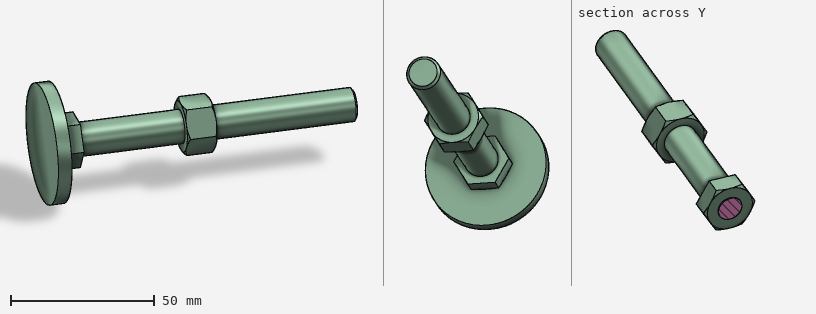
import cadquery as cq
import math

TOTAL_LENGTH = 112.5

FOOT_DIAMETER = 43.0
FOOT_THICKNESS = 5.0

NECK_DIAMETER = 9.0
NECK_LENGTH = 0.6

STUD_DIAMETER = 12.0
TIP_CHAMFER_LENGTH = 0.8
TIP_CHAMFER_DEPTH = 1.0

HEAD_FLATS = 17.0
HEAD_HEIGHT = 7.0
HEAD_START = FOOT_THICKNESS + NECK_LENGTH
HEAD_END = HEAD_START + HEAD_HEIGHT

NUT_FLATS = 18.0
NUT_HEIGHT = 10.8
NUT_START = 50.0

HEX_CHAMFER_ANGLE = 30.0


def cylinder(diameter, start, length):
    """Round bar along +Y beginning at Y = start."""
    plane = cq.Workplane("XZ", origin=(0, start, 0))
    return plane.circle(diameter / 2).extrude(-length)


def hexagon(flats, start, height, chamfer_far_end):
    """Hexagonal bar with flats facing +Z and -Z, and conically chamfered corners.

    The near end is always chamfered, the far end only on request.
    """
    corner_diameter = flats / math.cos(math.radians(30))
    plane = cq.Workplane("XZ", origin=(0, start, 0))
    prism = plane.polygon(6, corner_diameter).extrude(-height)

    flat_radius = flats / 2
    corner_radius = corner_diameter / 2
    drop = (corner_radius - flat_radius) * math.tan(math.radians(HEX_CHAMFER_ANGLE))
    end = start + height
    envelope = cq.Workplane("XY").moveTo(0, start).lineTo(flat_radius, start)
    envelope = envelope.lineTo(corner_radius, start + drop)
    if chamfer_far_end:
        envelope = envelope.lineTo(corner_radius, end - drop).lineTo(flat_radius, end)
    else:
        envelope = envelope.lineTo(corner_radius, end)
    envelope = envelope.lineTo(0, end).close().revolve(360, (0, 0, 0), (0, 1, 0))
    return prism.intersect(envelope)


def make_foot():
    """Plain round foot plate."""
    return cylinder(FOOT_DIAMETER, 0, FOOT_THICKNESS)


def make_stud():
    """Stud with a neck, a hexagonal head and a chamfered tip."""
    neck = cylinder(NECK_DIAMETER, FOOT_THICKNESS, NECK_LENGTH)
    head = hexagon(HEAD_FLATS, HEAD_START, HEAD_HEIGHT, chamfer_far_end=False)
    shank = cylinder(STUD_DIAMETER, HEAD_END, TOTAL_LENGTH - HEAD_END)
    shank = shank.faces(">Y").chamfer(TIP_CHAMFER_LENGTH, TIP_CHAMFER_DEPTH)
    return neck.union(head).union(shank)


def make_nut():
    """Hexagonal nut, bored to fit the stud."""
    blank = hexagon(NUT_FLATS, NUT_START, NUT_HEIGHT, chamfer_far_end=True)
    return blank.cut(cylinder(STUD_DIAMETER, NUT_START, NUT_HEIGHT))


foot = make_foot()
stud = make_stud()
nut = make_nut()

result = cq.Compound.makeCompound([foot.val(), stud.val(), nut.val()])